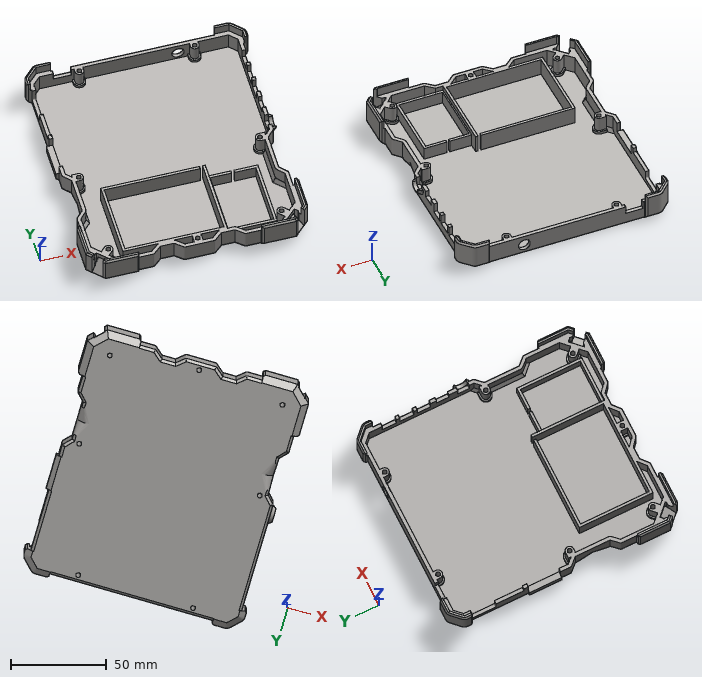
import cadquery as cq
import math

LENGTH = 135.0
WIDTH = 120.0
HEIGHT = 17.5
RIM = 12.3
FLOOR = 2.0
WALL = 2.0
BODY_X = 57.2
BODY_Y = 65.0
BOTTOM_CHAMFER = 1.5
OUTLINE_FILLET = 1.4
BACK_CORNER = 5.3
FRONT_CORNER = 12.3

WAIST_Y = -17.3
WAIST_DEPTH = 4.0
WAIST_OUTER = 14.5
WAIST_INNER = 10.1

RECESS_X = 16.5
RECESS_DEPTH = 3.9
RECESS_OUTER = 8.2
RECESS_INNER = 3.6

BEVEL = 1.0
LIP = 1.1
BUMPER_CHAMFER = 3.8
BUMPER_BACK_CORNER = 7.0
BUMPER_FRONT_CORNER = 8.4
BUMPER_FILLET = 4.0
BACK_BUMPER_X = 44.3
BACK_BUMPER_Y = 55.6
FRONT_BUMPER_X = 33.2
FRONT_BUMPER_Y = -40.9

STRAP_WIDTH = 6.5
STRAP_DEPTH = 6.6
STRAP_SHIFT = 1.0
STRAP_MOUTH_Z = 3.4
STRAP_BACK_Z = 9.6
STRAP_POCKET_WIDTH = 8.8
STRAP_POCKET_LENGTH = 3.8
STRAP_POCKET_Z = 5.4

SCOOP_RADIUS = 6.3
SCOOP_END_RADIUS = 1.4
SCOOP_HALF_LENGTH = 9.5
LINING = 1.6
LINING_HEIGHT = 2.4

SCREW_HOLE = 2.4
POST = 4.7
POST_FOOT = 6.6
POST_FOOT_HEIGHT = 1.6
POST_WEB = 3.4
POSTS = [
    (-30.0, 61.2, [90]),
    (32.4, 61.2, [90]),
    (-49.0, -6.0, [180]),
    (49.0, -6.0, [0]),
    (-46.8, -55.5, [225]),
    (46.8, -55.5, [-45]),
    (0, -61.0, [90, 270]),
]

TRAY_WALL = 1.5
TRAY_FRONT = RECESS_DEPTH + WALL - BODY_Y
BIG_TRAY_LEFT = -40.0
BIG_TRAY_RIGHT = 16.6
BIG_TRAY_BACK = -16.0
SMALL_TRAY_LEFT = 15.9
SMALL_TRAY_RIGHT = 43.6
SMALL_TRAY_BACK = -21.2
SMALL_TRAY_TOP = 9.5
SMALL_TRAY_GAP_START = 29.0
TRAY_GAP = 1.6

RIGHT_OPENINGS = [(42.9, 51.2, 6.9), (32.8, 40.9, 6.9), (23.1, 30.8, 6.9), (12.4, 19.6, 8.6)]
LEFT_OPENINGS = [(3.4, 22.1, 6.6), (24.7, 40.9, 9.5)]
LOW_OPENING = (40.9, 55.0, 4.5)
LOW_OPENING_FILLET = 0.8
LEDGE_OUT = 1.5
LEDGE_CHAMFER = 2.5

SOCKET_Y = 3.9
SOCKET_Z = 10.0
SOCKET_SILL = 6.9
SOCKET_HOLE = 6.6
SOCKET_BASE = 11.0
SOCKET_TIP = 7.5
SOCKET_OUT = 2.3

BACK_NOTCH = (-43.5, -33.8, 7.8)
BACK_HOLE_X = 23.9
BACK_HOLE_Z = 6.5
BACK_HOLE = 6.6


def box(x0, x1, y0, y1, z0, z1):
    """Block between two limits on each axis."""
    block = cq.Workplane("XY").box(x1 - x0, y1 - y0, z1 - z0, centered=False)
    return block.translate((x0, y0, z0))


def mirrored_pair(solid):
    """The solid and its mirror image across the middle plane X = 0."""
    return solid.union(solid.mirror("YZ"))


def body_outline():
    """Closed outline of the main wall, outside, without its rounded corners."""
    waist_x = BODY_X - WAIST_DEPTH
    recess_y = RECESS_DEPTH - BODY_Y
    half = [
        (RECESS_X - RECESS_OUTER, -BODY_Y),
        (RECESS_X - RECESS_INNER, recess_y),
        (RECESS_X + RECESS_INNER, recess_y),
        (RECESS_X + RECESS_OUTER, -BODY_Y),
        (BODY_X - FRONT_CORNER, -BODY_Y),
        (BODY_X, FRONT_CORNER - BODY_Y),
        (BODY_X, WAIST_Y - WAIST_OUTER),
        (waist_x, WAIST_Y - WAIST_INNER),
        (waist_x, WAIST_Y + WAIST_INNER),
        (BODY_X, WAIST_Y + WAIST_OUTER),
        (BODY_X, BODY_Y - BACK_CORNER),
        (BODY_X - BACK_CORNER, BODY_Y),
    ]
    other_half = [(-x, y) for x, y in reversed(half)]
    return cq.Workplane("XY").polyline(half + other_half).close()


def body_block():
    """Solid body with rounded upright edges and a chamfer round the bottom."""
    straight = body_outline().extrude(RIM).edges("|Z").fillet(OUTLINE_FILLET)
    flare = body_outline().offset2D(-BOTTOM_CHAMFER, "intersection").extrude(BOTTOM_CHAMFER, taper=-45)
    upper = body_outline().extrude(RIM - BOTTOM_CHAMFER).translate((0, 0, BOTTOM_CHAMFER))
    return straight.intersect(flare.union(upper))


def cavity():
    """Space inside the walls, rounded where they bend in at the waists."""
    space = body_outline().offset2D(-WALL, "intersection").extrude(HEIGHT).translate((0, 0, FLOOR))
    bend_x = BODY_X - WAIST_DEPTH - WALL
    for x in (-bend_x, bend_x):
        near_bends = cq.selectors.BoxSelector((x - WALL, WAIST_Y - WAIST_OUTER, 0), (x + WALL, 0, LENGTH))
        space = space.edges("|Z").edges(near_bends).fillet(OUTLINE_FILLET + WALL)
    return space


def bumper_plan():
    """Block over the whole plan with the bumpers' corner chamfers."""
    block = cq.Workplane("XY").rect(WIDTH, LENGTH).extrude(HEIGHT)
    block = block.edges("|Z and >Y").chamfer(BUMPER_BACK_CORNER)
    return block.edges("|Z and <Y").chamfer(BUMPER_FRONT_CORNER)


def bumper_envelope():
    """Outer shape of the bumpers, before it is divided into corners."""
    corner_edges = cq.selectors.BoxSelector((-WIDTH, 0, 0), (WIDTH, LENGTH, HEIGHT))
    block = bumper_plan().edges("|Z").edges(corner_edges).fillet(BUMPER_FILLET)
    return block.faces("<Z").chamfer(BUMPER_CHAMFER).faces(">Z").chamfer(BEVEL)


def bumper_window(end_x, end_y):
    """Corner of the plan beyond end_x and end_y, bevelled where the bumper ends."""
    side = math.copysign(1, end_y)
    outer_x = WIDTH / 2
    outer_y = side * LENGTH / 2
    points = [
        (end_x, end_y),
        (end_x, outer_y - side * BEVEL),
        (end_x + BEVEL, outer_y),
        (outer_x, outer_y),
        (outer_x, end_y + side * BEVEL),
        (outer_x - BEVEL, end_y),
    ]
    return cq.Workplane("XY").polyline(points).close().extrude(HEIGHT)


def bumpers():
    """Four solid corners that rise above the rim as a thin lip."""
    back_window = bumper_window(BACK_BUMPER_X, BACK_BUMPER_Y)
    front_window = bumper_window(FRONT_BUMPER_X, FRONT_BUMPER_Y)
    windows = back_window.union(front_window)
    plan_wire = bumper_plan().faces(">Z").wires().toPending()
    inside = plan_wire.offset2D(-BEVEL - LIP).extrude(-HEIGHT, combine=False)
    return bumper_envelope().intersect(mirrored_pair(windows)).cut(inside.translate((0, 0, RIM)))


def place_on_corner(cutter):
    """Move a cutter from the origin, with X pointing outwards, to the right front corner face."""
    middle = BUMPER_FRONT_CORNER / 2
    cutter = cutter.translate((0, -STRAP_SHIFT, 0)).rotate((0, 0, 0), (0, 0, 1), -45)
    return cutter.translate((WIDTH / 2 - middle, middle - LENGTH / 2, 0))


def strap_slot():
    """Diagonal slot in the right front corner: a ramp down to the outside with a pocket on each side."""
    depth_profile = [
        (-STRAP_DEPTH, STRAP_BACK_Z),
        (0, STRAP_MOUTH_Z),
        (STRAP_DEPTH, STRAP_MOUTH_Z),
        (STRAP_DEPTH, HEIGHT),
        (-STRAP_DEPTH, HEIGHT),
    ]
    neck = cq.Workplane("XZ").polyline(depth_profile).close().extrude(STRAP_WIDTH / 2, both=True)
    half_pocket = STRAP_POCKET_WIDTH / 2
    pocket_end = STRAP_POCKET_LENGTH - STRAP_DEPTH
    pocket = box(-STRAP_DEPTH, pocket_end, -half_pocket, half_pocket, STRAP_POCKET_Z, RIM)
    ramp = box(-STRAP_DEPTH, STRAP_DEPTH, -STRAP_WIDTH / 2, STRAP_WIDTH / 2, 0, RIM)
    pocket = place_on_corner(pocket.cut(ramp))
    inner_x = BODY_X - WALL
    inner_y = BODY_Y - WALL
    return place_on_corner(neck).union(pocket.intersect(box(0, inner_x, -inner_y, 0, 0, RIM)))


def waist_lining():
    """Sloped strip along the foot of the right waist wall, inside."""
    outer_x = BODY_X - WALL / 2
    wall_x = BODY_X - WAIST_DEPTH - WALL
    half_bend = math.radians(45 / 2)

    def section(z, inset):
        inner_x = wall_x - inset
        inner_reach = WAIST_INNER + (WALL + inset) * math.tan(half_bend)
        outer_reach = inner_reach + outer_x - inner_x
        points = [
            (inner_x, WAIST_Y - inner_reach),
            (inner_x, WAIST_Y + inner_reach),
            (outer_x, WAIST_Y + outer_reach),
            (outer_x, WAIST_Y - outer_reach),
        ]
        return cq.Workplane("XY").workplane(offset=z).polyline(points).close().wires().val()

    wires = [section(FLOOR, LINING), section(FLOOR + LINING_HEIGHT, 0)]
    return cq.Workplane(cq.Solid.makeLoft(wires, True)).intersect(body_block())


def finger_scoop():
    """Cutter for a rounding under the right waist, widest at the middle and tapering to both ends."""
    waist_x = BODY_X - WAIST_DEPTH

    def section(y, radius):
        at_45 = radius * (1 - math.sqrt(0.5))
        plane = cq.Plane(origin=(waist_x, y, 0), xDir=(-1, 0, 0), normal=(0, 1, 0))
        wire = cq.Workplane(plane).lineTo(radius, 0).threePointArc((at_45, at_45), (0, radius)).close()
        return wire.wires().val()

    middle = section(WAIST_Y, SCOOP_RADIUS)
    cutter = cq.Workplane("XY")
    for end in (-1, 1):
        tip = section(WAIST_Y + end * SCOOP_HALF_LENGTH, SCOOP_END_RADIUS)
        cutter = cutter.union(cq.Workplane(cq.Solid.makeLoft([middle, tip], True)))
    return cutter


def cylinder(x, y, diameter, z0, z1):
    return cq.Workplane("XY").workplane(offset=z0).center(x, y).circle(diameter / 2).extrude(z1 - z0)


def post_step(x, y, web_angles, diameter, top):
    """Round post with webs of the same width out to the walls."""
    step = cylinder(x, y, diameter, FLOOR / 2, top)
    for angle in web_angles:
        web = box(0, POST_WEB, -diameter / 2, diameter / 2, FLOOR / 2, top)
        web = web.rotate((0, 0, 0), (0, 0, 1), angle).translate((x, y, 0))
        step = step.union(web)
    return step


def screw_posts():
    posts = cq.Workplane("XY")
    for x, y, web_angles in POSTS:
        posts = posts.union(post_step(x, y, web_angles, POST, RIM))
        posts = posts.union(post_step(x, y, web_angles, POST_FOOT, FLOOR + POST_FOOT_HEIGHT))
    return posts.intersect(body_block())


def screw_holes():
    holes = cq.Workplane("XY")
    for x, y, _ in POSTS:
        holes = holes.union(cylinder(x, y, SCREW_HOLE, 0, HEIGHT))
    return holes


def tray(left, right, back, top):
    """Four thin walls standing on the floor."""
    outside = box(left, right, TRAY_FRONT, back, FLOOR / 2, top)
    inside = box(left + TRAY_WALL, right - TRAY_WALL, TRAY_FRONT + TRAY_WALL, back - TRAY_WALL, FLOOR, top)
    return outside.cut(inside)


def tray_gap(start, back):
    """Narrow gap through the back wall of a tray, down to the floor."""
    return box(start, start + TRAY_GAP, back - TRAY_WALL, back, FLOOR, RIM)


def trays():
    big = tray(BIG_TRAY_LEFT, BIG_TRAY_RIGHT, BIG_TRAY_BACK, RIM)
    big = big.cut(tray_gap(BIG_TRAY_RIGHT - TRAY_WALL - TRAY_GAP, BIG_TRAY_BACK))
    small = tray(SMALL_TRAY_LEFT, SMALL_TRAY_RIGHT, SMALL_TRAY_BACK, SMALL_TRAY_TOP)
    return big.union(small.cut(tray_gap(SMALL_TRAY_GAP_START, SMALL_TRAY_BACK)))


def left_ledge():
    """Block that stands out from the left wall below its first opening, chamfered underneath."""
    start, end, top = LEFT_OPENINGS[0]
    outer = -BODY_X - LEDGE_OUT
    profile = [
        (WALL - BODY_X, top),
        (outer, top),
        (outer, LEDGE_CHAMFER),
        (outer + LEDGE_CHAMFER, 0),
        (WALL - BODY_X, 0),
    ]
    ledge = cq.Workplane("XZ").polyline(profile).close().extrude(start - end)
    return ledge.translate((0, start, 0))


def wall_openings():
    inner = BODY_X - WALL
    outer = WIDTH / 2
    cuts = cq.Workplane("XY")
    for start, end, sill in RIGHT_OPENINGS:
        cuts = cuts.union(box(inner, outer, start, end, sill, RIM))
    for start, end, sill in LEFT_OPENINGS:
        cuts = cuts.union(box(-outer, -inner, start, end, sill, RIM))
    start, end, sill = LOW_OPENING
    low = box(-BODY_X, -inner, start, end, sill, RIM)
    cuts = cuts.union(low.edges("|X and <Z").fillet(LOW_OPENING_FILLET))
    start, end, sill = BACK_NOTCH
    cuts = cuts.union(box(start, end, BODY_Y - WALL, BODY_Y, sill, RIM))
    hole = cq.Workplane("XZ").center(BACK_HOLE_X, BACK_HOLE_Z).circle(BACK_HOLE / 2).extrude(-LENGTH)
    return cuts.union(hole)


def socket_collar():
    """Lower half of a cone frustum on the right wall."""
    base = cq.Workplane("YZ").circle(SOCKET_BASE / 2)
    collar = base.workplane(offset=SOCKET_OUT).circle(SOCKET_TIP / 2).loft()
    collar = collar.translate((BODY_X, SOCKET_Y, SOCKET_Z))
    return collar.intersect(box(0, WIDTH, -LENGTH, LENGTH, 0, SOCKET_Z))


def socket_opening():
    """Square opening in the wall with a half-round trough through the collar in front of it."""
    radius = SOCKET_HOLE / 2
    trough = cq.Workplane("YZ").circle(radius).extrude(WIDTH).translate((BODY_X, SOCKET_Y, SOCKET_Z))
    wall_cut = box(BODY_X - WALL, BODY_X, SOCKET_Y - radius, SOCKET_Y + radius, SOCKET_SILL, RIM)
    return trough.union(wall_cut)


shell = body_block().union(bumpers()).cut(cavity())
shell = shell.union(mirrored_pair(waist_lining()))
shell = shell.union(left_ledge()).union(socket_collar())
shell = shell.union(trays()).union(screw_posts())
shell = shell.cut(mirrored_pair(strap_slot())).cut(mirrored_pair(finger_scoop()))
result = shell.cut(wall_openings()).cut(socket_opening()).cut(screw_holes())